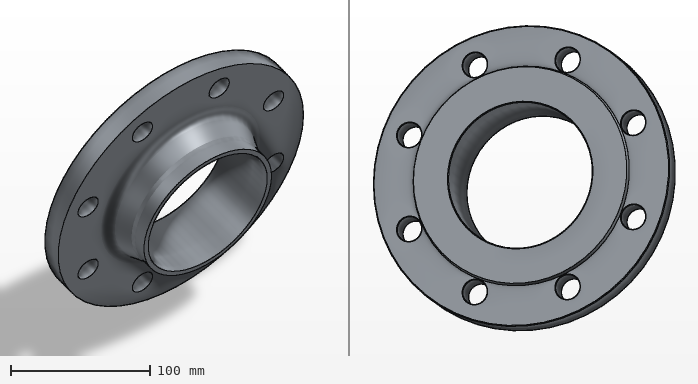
import cadquery as cq

flange_diameter = 220.0
bore_diameter = 106.7
neck_diameter = 114.5
hub_base_diameter = 130.7
face_outer_diameter = 158.5
face_root_diameter = 160.5

total_length = 52.0
face_height = 3.0
flange_back = 19.8
cone_end = 39.8
blend_radius = 8.8
edge_chamfer = 0.7
bolt_hole_chamfer = 0.5

bolt_count = 8
bolt_hole_diameter = 18.0
bolt_circle_diameter = 180.0

x_face = -total_length / 2
x_flange_front = x_face + face_height
x_flange_back = x_face + flange_back
x_cone_end = x_face + cone_end
x_neck_end = x_face + total_length


def circle_edge_at(body, x, diameter):
    """Return the circular edge of body that crosses (x, diameter / 2, 0)."""
    margin = 0.02
    radius = diameter / 2
    selector = cq.selectors.BoxSelector(
        (x - margin, -radius - margin, -radius - margin),
        (x + margin, radius + margin, radius + margin),
        boundingbox=True,
    )
    return body.edges(selector).edges(cq.selectors.RadiusNthSelector(-1))


def flange_body():
    """Revolve the solid outline, then blend the hub and break the front rim."""
    body = (
        cq.Workplane("XY")
        .moveTo(x_face, 0)
        .lineTo(x_face, face_outer_diameter / 2)
        .lineTo(x_flange_front, face_root_diameter / 2)
        .lineTo(x_flange_front, flange_diameter / 2)
        .lineTo(x_flange_back, flange_diameter / 2)
        .lineTo(x_flange_back, hub_base_diameter / 2)
        .lineTo(x_cone_end, neck_diameter / 2)
        .lineTo(x_neck_end, neck_diameter / 2)
        .lineTo(x_neck_end, 0)
        .close()
        .revolve(360, (0, 0, 0), (1, 0, 0))
    )
    body = circle_edge_at(body, x_flange_back, hub_base_diameter).fillet(blend_radius)
    body = circle_edge_at(body, x_cone_end, neck_diameter).fillet(blend_radius)
    return circle_edge_at(body, x_flange_front, flange_diameter).chamfer(edge_chamfer)


def round_cutter(x_start, x_end, diameter, chamfer):
    """Return a tool along X for a hole whose -X mouth, at x_start, is chamfered."""
    mouth_radius = diameter / 2 + chamfer
    return (
        cq.Workplane("XY")
        .moveTo(x_start, 0)
        .lineTo(x_start, mouth_radius)
        .lineTo(x_start + chamfer, diameter / 2)
        .lineTo(x_end, diameter / 2)
        .lineTo(x_end, 0)
        .close()
        .revolve(360, (0, 0, 0), (1, 0, 0))
    )


result = flange_body().cut(round_cutter(x_face, x_neck_end, bore_diameter, edge_chamfer))

bolt_hole = round_cutter(x_flange_front, x_flange_back, bolt_hole_diameter, bolt_hole_chamfer)
bolt_cutter = bolt_hole.translate((0, bolt_circle_diameter / 2, 0))
pitch_angle = 360 / bolt_count
for index in range(bolt_count):
    angle = (index + 0.5) * pitch_angle
    result = result.cut(bolt_cutter.rotate((0, 0, 0), (1, 0, 0), angle))